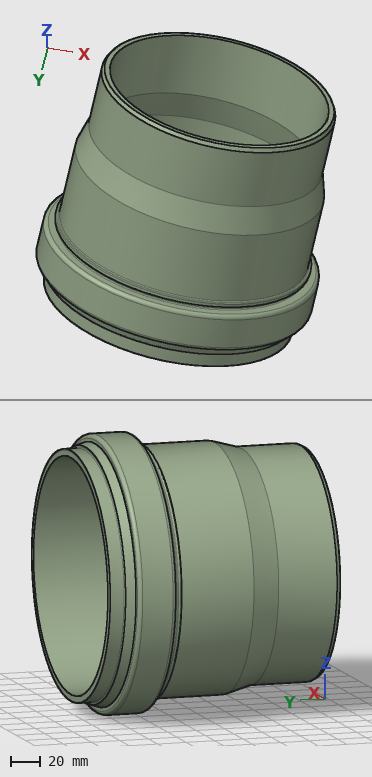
import cadquery as cq

length = 164.0
tube_radius = 170.5 / 2
tube_bore_radius = 161.0 / 2
spigot_radius = 160.1 / 2
spigot_bore_radius = 149.7 / 2

lip_length = 10.4
collar_start = 17.0
collar_end = 44.0
ring_start = 46.6
ring_end = 49.8
taper_start = 101.0
bore_taper_start = 99.9
taper_end = 120.0

shoulder_radius = 87.0
shoulder_base_radius = 89.1
collar_radius = 188.8 / 2
collar_fillet = 2.8
ring_radius = 175.0 / 2
ring_fillet = 0.5
root_fillet = 0.66
lip_chamfer_length = 0.8
lip_chamfer_depth = 0.2
root_tolerance = 0.1
spigot_chamfer_length = 2.8
spigot_chamfer_depth = 1.5


def from_socket(distance):
    """Y position at a given distance from the socket end face."""
    return length - distance


def frustum(start, start_radius, end, end_radius):
    """Solid of revolution tapering between two distances from the socket end."""
    return (
        cq.Workplane("XY")
        .moveTo(0, from_socket(start))
        .lineTo(start_radius, from_socket(start))
        .lineTo(end_radius, from_socket(end))
        .lineTo(0, from_socket(end))
        .close()
        .revolve(360, (0, 0, 0), (0, 1, 0))
    )


def cylinder(start, end, radius):
    return frustum(start, radius, end, radius)


def reducer(large_radius, small_radius, start):
    """Large cylinder, taper and small cylinder over the full length; start is where the taper begins."""
    return (
        cylinder(0, start, large_radius)
        .union(frustum(start, large_radius, taper_end, small_radius))
        .union(cylinder(taper_end, length, small_radius))
    )


def root_selector(distance):
    """Selects the circle on the pipe wall at a given distance from the socket end."""
    reach = tube_radius + root_tolerance
    y = from_socket(distance)
    return cq.selectors.BoxSelector(
        (-reach, y - root_tolerance, -reach),
        (reach, y + root_tolerance, reach),
        boundingbox=True,
    )


body = reducer(tube_radius, spigot_radius, taper_start)
body = body.faces(">Y").chamfer(lip_chamfer_length, lip_chamfer_depth)
body = body.faces("<Y").chamfer(spigot_chamfer_length, spigot_chamfer_depth)

shoulder = frustum(lip_length, shoulder_radius, collar_start, shoulder_base_radius)
collar = cylinder(collar_start, collar_end, collar_radius).edges().fillet(collar_fillet)
ring = cylinder(ring_start, ring_end, ring_radius).edges().fillet(ring_fillet)
body = body.union(shoulder).union(collar).union(ring)

for root in (lip_length, collar_end, ring_start, ring_end):
    body = body.edges(root_selector(root)).fillet(root_fillet)

result = body.cut(reducer(tube_bore_radius, spigot_bore_radius, bore_taper_start))